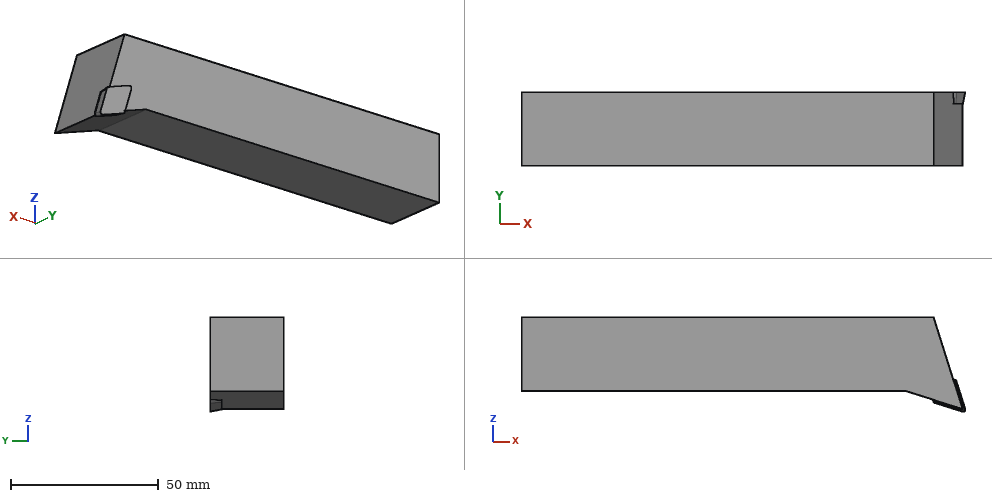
import cadquery as cq
import math

SHANK_LENGTH_RATIO = 6
OVERALL_LENGTH = 150.0
SHANK_SIZE = OVERALL_LENGTH / SHANK_LENGTH_RATIO
POINT_X = 149.1
POINT_DROP = 31.0
NOSE_ANGLE = 55.0

INSERT_INSCRIBED = 9.52
INSERT_THICKNESS = 3.98
RELIEF_ANGLE = 7.0
NOSE_RADIUS = 0.8
NOSE_DROP = 32.0

BISECTOR_ANGLE = 45.0
DIAGONAL = math.radians(BISECTOR_ANGLE)
FACE_TILT = math.radians(BISECTOR_ANGLE - NOSE_ANGLE / 2)
HALF_NOSE = math.radians(NOSE_ANGLE / 2)

INSERT_SIDE = INSERT_INSCRIBED / math.sin(2 * HALF_NOSE)
HALF_LONG = INSERT_SIDE * math.cos(HALF_NOSE)
HALF_SHORT = INSERT_SIDE * math.sin(HALF_NOSE)

CENTRE_SETBACK = HALF_LONG - NOSE_RADIUS / math.sin(HALF_NOSE)
CENTRE_X = OVERALL_LENGTH - NOSE_RADIUS - CENTRE_SETBACK * math.cos(DIAGONAL)
CENTRE_Z = -NOSE_DROP + NOSE_RADIUS + CENTRE_SETBACK * math.sin(DIAGONAL)


def make_insert():
    """Rhombic plate narrowing toward -Y, with all four corners rounded."""
    face_plane = cq.Plane(
        origin=(CENTRE_X, SHANK_SIZE / 2, CENTRE_Z),
        xDir=(math.cos(DIAGONAL), 0, -math.sin(DIAGONAL)),
        normal=(0, -1, 0),
    )
    corners = [(HALF_LONG, 0), (0, HALF_SHORT), (-HALF_LONG, 0), (0, -HALF_SHORT)]
    plate = cq.Workplane(face_plane).polyline(corners).close()
    plate = plate.extrude(INSERT_THICKNESS, taper=RELIEF_ANGLE)
    return plate.edges("not #Y").fillet(NOSE_RADIUS).solids()


def make_shank(insert):
    """Square bar with an angled point and a pocket that fits the insert."""
    top_end_x = POINT_X - POINT_DROP * math.tan(FACE_TILT)
    bend_x = POINT_X - (POINT_DROP - SHANK_SIZE) / math.tan(FACE_TILT)
    outline = [
        (0, 0),
        (top_end_x, 0),
        (POINT_X, -POINT_DROP),
        (bend_x, -SHANK_SIZE),
        (0, -SHANK_SIZE),
    ]
    bar = cq.Workplane("XZ").polyline(outline).close().extrude(SHANK_SIZE / 2, both=True)
    return bar.cut(insert).solids()


insert = make_insert()
shank = make_shank(insert)

result = cq.Compound.makeCompound([shank.val(), insert.val()])